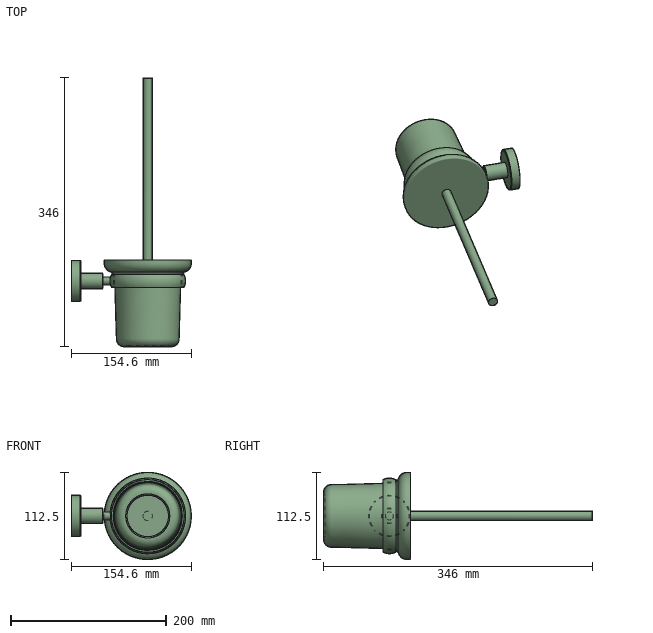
import cadquery as cq
import math


total_length = 346.0
plate_back_x = -98.3

base_y = -84.8
rim_top_y = 27.5
rim_radius = 56.25
rim_edge_fillet = 1.5
rim_curve_top_y = 23.0
rim_curve_radius = 11.8
rim_curve_bottom_y = 11.5
neck_radius = 44.5
wall_top_radius = 43.0
wall_bottom_radius = 40.5
wall_bottom_y = -74.8
foot_radius = 30.0
recess_mouth_radius = 28.5
recess_floor_radius = 26.5
recess_depth = 1.7

ring_half_height = 8.3
ring_bore_radius = 44.0
ring_edge_radius = 46.7
ring_outer_radius = 48.8
plate_radius = 26.5
plate_thickness = 12.0
plate_chamfer = 1.0
stem_radius = 10.0
stem_end_x = -57.5
stem_chamfer = 1.0
arm_radius = 5.2
arm_end_x = -46.0

handle_radius = 6.05


def revolve_about_y(profile):
    return profile.close().revolve(360, (0, 0, 0), (0, 1, 0))


def make_cup():
    """Tapered cup with a flared rim, whose underside rests on the ring."""
    curve_center_radius = rim_radius - rim_curve_radius
    curve_drop = rim_curve_top_y - rim_curve_bottom_y
    curve_end_radius = curve_center_radius + math.sqrt(rim_curve_radius**2 - curve_drop**2)
    fillet_start = (rim_radius - rim_edge_fillet, rim_top_y)
    fillet_end = (rim_radius, rim_top_y - rim_edge_fillet)
    profile = (
        cq.Workplane("XY")
        .moveTo(0, rim_top_y)
        .lineTo(*fillet_start)
        .radiusArc(fillet_end, rim_edge_fillet)
        .lineTo(rim_radius, rim_curve_top_y)
        .radiusArc((curve_end_radius, rim_curve_bottom_y), rim_curve_radius)
        .lineTo(neck_radius, ring_half_height)
        .lineTo(wall_top_radius, ring_half_height)
        .lineTo(wall_bottom_radius, wall_bottom_y)
        .tangentArcPoint((foot_radius, base_y), relative=False)
        .lineTo(recess_mouth_radius, base_y)
        .lineTo(recess_floor_radius, base_y + recess_depth)
        .lineTo(0, base_y + recess_depth)
    )
    return revolve_about_y(profile)


def make_ring():
    """Holding ring with a bulging outer face."""
    profile = (
        cq.Workplane("XY")
        .moveTo(ring_bore_radius, ring_half_height)
        .lineTo(ring_edge_radius, ring_half_height)
        .threePointArc((ring_outer_radius, 0), (ring_edge_radius, -ring_half_height))
        .lineTo(ring_bore_radius, -ring_half_height)
    )
    return revolve_about_y(profile)


def rod_along_x(radius, start_x, end_x):
    return cq.Workplane("YZ").workplane(offset=start_x).circle(radius).extrude(end_x - start_x)


def make_bracket():
    """Wall plate, stem and thin arm carrying the ring, all one solid."""
    plate_front_x = plate_back_x + plate_thickness
    plate = rod_along_x(plate_radius, plate_back_x, plate_front_x).faces(">X").chamfer(plate_chamfer)
    stem = rod_along_x(stem_radius, plate_front_x, stem_end_x).faces(">X").chamfer(stem_chamfer)
    arm = rod_along_x(arm_radius, stem_end_x, arm_end_x)
    return plate.union(stem).union(arm).union(make_ring())


def make_handle():
    """Plain round handle standing on the top of the cup."""
    handle_top_y = base_y + total_length
    return (
        cq.Workplane("XZ", origin=(0, rim_top_y, 0))
        .circle(handle_radius)
        .extrude(rim_top_y - handle_top_y)
    )


cup = make_cup()
bracket = make_bracket()
handle = make_handle()

result = cq.Compound.makeCompound([cup.val(), bracket.val(), handle.val()])